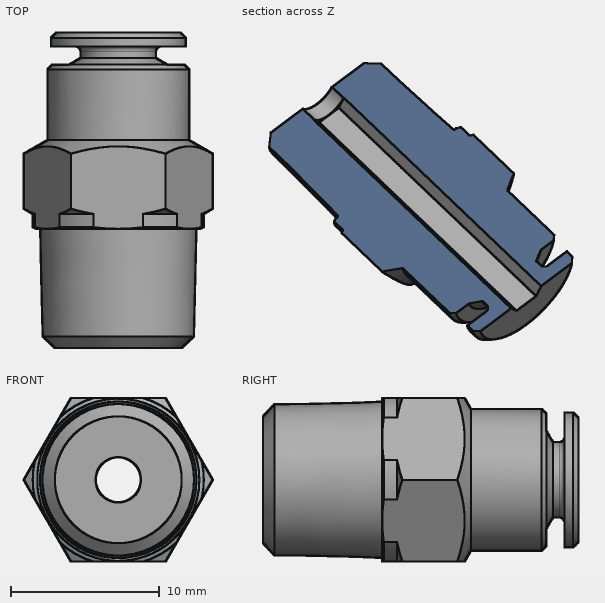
import cadquery as cq
import math

length = 21.2
thread_chamfer_end = 0.78
hex_start = 8.0
collar_chamfer_end = 8.12
collar_end = 9.0
body_start = 13.97
body_chamfer_start = 18.72
body_end = 19.04
neck_start = 19.48
neck_fillet = 0.32
flange_start = 20.25
flange_chamfer = 0.35

thread_end_radius = 4.26
thread_small_radius = 5.09
thread_large_radius = 5.25
collar_start_radius = 5.45
collar_radius = 5.75
body_radius = 4.77
body_chamfer = body_end - body_chamfer_start
neck_cone_radius = 3.3
neck_radius = 2.55
flange_radius = 4.54
flange_end_radius = flange_radius - flange_chamfer

hex_flats = 11.0
hex_corner_radius = hex_flats / math.sqrt(3)
cone_slope = math.tan(math.radians(30))
hex_blank_radius = hex_corner_radius + 0.21
lower_cone_end = collar_end + (hex_blank_radius - collar_radius) * cone_slope
upper_cone_start = body_start - (hex_blank_radius - body_radius) * cone_slope

bore_diameter = 3.0
bore_depth = 1.19
socket_flats = 3.05


def revolve_outline(points):
    """Revolve a closed (radius, y) outline about the Y axis."""
    return cq.Workplane("XY").polyline(points).close().revolve(360, (0, 0, 0), (0, 1, 0))


def hex_prism(flats, start, end):
    """Hexagonal prism along Y with two corners on the X axis."""
    corner_diameter = 2 * flats / math.sqrt(3)
    plane = cq.Workplane("XZ", origin=(0, start, 0))
    return plane.polygon(6, corner_diameter).extrude(start - end)


def make_thread():
    return revolve_outline([
        (0, 0),
        (thread_end_radius, 0),
        (thread_small_radius, thread_chamfer_end),
        (thread_large_radius, hex_start),
        (0, hex_start),
    ])


def make_hex():
    turned_blank = revolve_outline([
        (0, hex_start),
        (collar_start_radius, hex_start),
        (collar_radius, collar_chamfer_end),
        (collar_radius, collar_end),
        (hex_blank_radius, lower_cone_end),
        (hex_blank_radius, upper_cone_start),
        (body_radius, body_start),
        (0, body_start),
    ])
    return turned_blank.intersect(hex_prism(hex_flats, hex_start, body_start))


def make_body():
    return revolve_outline([
        (0, body_start),
        (body_radius, body_start),
        (body_radius, body_chamfer_start),
        (body_radius - body_chamfer, body_end),
        (neck_cone_radius, body_end),
        (neck_radius, neck_start),
        (0, neck_start),
    ])


def make_release_ring():
    fillet_start = flange_start - neck_fillet
    arc_inset = neck_fillet * (1 - math.sqrt(0.5))
    outline = (
        cq.Workplane("XY")
        .moveTo(0, neck_start)
        .lineTo(neck_radius, neck_start)
        .lineTo(neck_radius, fillet_start)
        .threePointArc(
            (neck_radius + arc_inset, flange_start - arc_inset),
            (neck_radius + neck_fillet, flange_start),
        )
        .lineTo(flange_radius, flange_start)
        .lineTo(flange_radius, length - flange_chamfer)
        .lineTo(flange_end_radius, length)
        .lineTo(0, length)
        .close()
    )
    return outline.revolve(360, (0, 0, 0), (0, 1, 0))


def make_passage():
    bore = cq.Workplane("XZ").circle(bore_diameter / 2).extrude(-bore_depth)
    return bore.union(hex_prism(socket_flats, bore_depth, length))


fitting = make_thread().union(make_hex()).union(make_body()).union(make_release_ring())
result = fitting.cut(make_passage())